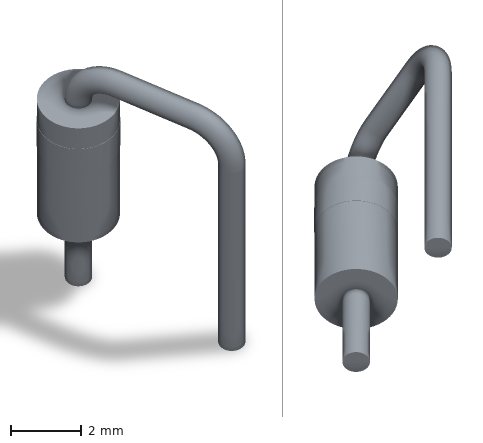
import cadquery as cq

total_height = 8.89
lead_diameter = 0.78
lead_pitch = 5.08
body_diameter = 2.37
body_bottom = 2.6
body_top = 7.24
band_diameter = 2.39
band_bottom = 5.405
band_top = 6.4

top_run_height = total_height - lead_diameter / 2
bend_radius = top_run_height - body_top


def upright_cylinder(diameter, bottom, top):
    """Cylinder on the body axis between two heights."""
    return cq.Workplane("XY").workplane(offset=bottom).circle(diameter / 2).extrude(top - bottom)


def bent_lead():
    """Round wire through the body, over the top and down to the second foot."""
    path = (
        cq.Workplane("XZ")
        .lineTo(0, body_top)
        .radiusArc((bend_radius, top_run_height), bend_radius)
        .lineTo(lead_pitch - bend_radius, top_run_height)
        .radiusArc((lead_pitch, body_top), bend_radius)
        .lineTo(lead_pitch, 0)
    )
    return cq.Workplane("XY").circle(lead_diameter / 2).sweep(path)


body = upright_cylinder(body_diameter, body_bottom, body_top)
polarity_band = upright_cylinder(band_diameter, band_bottom, band_top)

result = body.union(polarity_band).union(bent_lead())